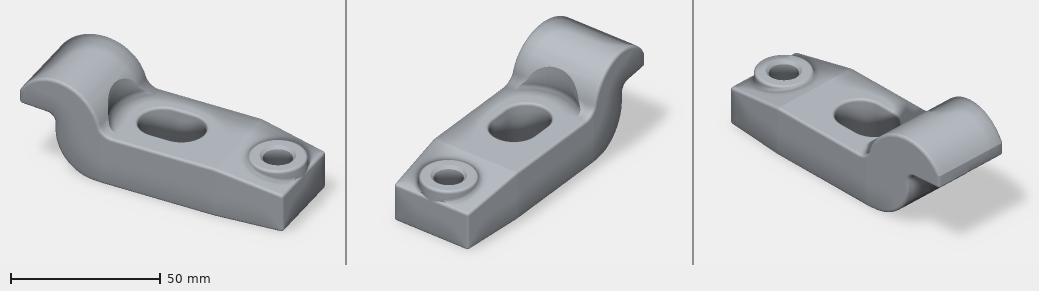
import cadquery as cq
import math

length = 100.0
width = 35.0
bar_height = 19.0
overall_height = 35.0
edge_radius = 1.0

crown_radius = 17.0
crown_x = 15.0
crown_z = overall_height - crown_radius
crown_foot_x = crown_x + math.sqrt(crown_radius**2 - (bar_height - crown_z) ** 2)
crown_blend_radius = 5.0
nose_underside_z = 21.0
heel_radius = 15.0
throat_radius = 3.0
throat_x = 14.0

tail_start = 75.0
side_taper_angle = 4.6
tail_slope_angle = 10.0

slot_x = 50.0
slot_length = 24.0
slot_width = 17.0
slot_rim_radius = 1.0
clearance_x = slot_x - (slot_length - slot_width) / 2
clearance_radius = 18.4
clearance_floor_radius = 1.4

boss_diameter = 20.0
boss_x = length - boss_diameter / 2
boss_hole_diameter = 10.2
boss_hole_chamfer = 1.0
boss_radius = 1.0


def on_circle(center_x, center_z, radius, angle):
    """Point of a circle in the XZ plane, with the angle in degrees."""
    turn = math.radians(angle)
    return center_x + radius * math.cos(turn), center_z + radius * math.sin(turn)


def tail_top_z(x):
    """Height of the sloped tail top at the given X."""
    return bar_height - (x - tail_start) * math.tan(math.radians(tail_slope_angle))


def side_profile():
    """Side outline of the clamp, extruded over the full width."""
    nose_tip_z = crown_z + math.sqrt(crown_radius**2 - crown_x**2)
    heel_x = throat_x + heel_radius
    throat_center = (throat_x - throat_radius, nose_underside_z - throat_radius)
    return (
        cq.Workplane("XZ")
        .moveTo(0, nose_underside_z)
        .lineTo(0, nose_tip_z)
        .threePointArc((crown_x, overall_height), (crown_foot_x, bar_height))
        .lineTo(tail_start, bar_height)
        .lineTo(length, tail_top_z(length))
        .lineTo(length, 0)
        .lineTo(heel_x, 0)
        .threePointArc(on_circle(heel_x, heel_radius, heel_radius, 225), (throat_x, heel_radius))
        .lineTo(throat_x, throat_center[1])
        .threePointArc(on_circle(*throat_center, throat_radius, 45), (throat_center[0], nose_underside_z))
        .close()
        .extrude(width / 2, both=True)
    )


def plan_profile():
    """Plan outline that narrows toward the nose and the tail."""
    taper = math.tan(math.radians(side_taper_angle))
    nose_half = width / 2 - crown_foot_x * taper
    tail_half = width / 2 - (length - tail_start) * taper
    half_outline = [
        (0, nose_half),
        (crown_foot_x, width / 2),
        (tail_start, width / 2),
        (length, tail_half),
    ]
    mirrored = [(x, -y) for x, y in reversed(half_outline)]
    return cq.Workplane("XY").polyline(half_outline + mirrored).close().extrude(overall_height)


def round_crown_foot(body):
    """Blend the back of the hook into the top of the bar."""
    foot = cq.selectors.NearestToPointSelector((crown_foot_x, 0, bar_height))
    return body.edges("|Y").edges(foot).fillet(crown_blend_radius)


def round_outer_edges(body):
    """Round the edges of both sides, of the tail face and of the lower nose corner."""
    side_edges = body.edges("not(|Y or |Z)").vals()
    nose_edges = body.faces("<X").edges("not >Z").vals()
    tail_edges = body.faces(">X").edges().vals()
    return body.newObject(side_edges + nose_edges + tail_edges).fillet(edge_radius)


def boss_cylinder():
    """Level boss with a rounded top edge, rooted inside the tail."""
    return (
        cq.Workplane("XY", origin=(boss_x, 0, bar_height / 2))
        .circle(boss_diameter / 2)
        .extrude(bar_height / 2)
        .faces(">Z")
        .edges()
        .fillet(boss_radius)
    )


def boss_base():
    """Boss standing on a piece of the tail, with a rounded corner around its foot."""
    reach = boss_diameter / 2 + 2 * boss_radius
    start_x = boss_x - reach
    end_x = boss_x + reach
    tail_piece = (
        cq.Workplane("XZ")
        .moveTo(start_x, bar_height / 2)
        .lineTo(end_x, bar_height / 2)
        .lineTo(end_x, tail_top_z(end_x))
        .lineTo(start_x, tail_top_z(start_x))
        .close()
        .extrude(reach, both=True)
    )
    joined = tail_piece.union(boss_cylinder())
    foot_edges = joined.edges("not(%LINE or %CIRCLE)")
    return foot_edges.fillet(boss_radius)


def add_boss(body):
    """Join the boss to the tail; its foot rounding stops at the rounded tail edge."""
    flat_tail = (
        cq.Workplane("XY", origin=(tail_start, 0, 0))
        .box(length - edge_radius - tail_start, width, overall_height, centered=(False, True, False))
    )
    return body.union(boss_cylinder()).union(boss_base().intersect(flat_tail))


def cut_boss_hole(body):
    """Screw hole through the boss, chamfered at the top."""
    hole_radius = boss_hole_diameter / 2
    hole = cq.Workplane("XY").center(boss_x, 0).circle(hole_radius).extrude(bar_height)
    chamfer = cq.Solid.makeCone(
        hole_radius,
        hole_radius + boss_hole_chamfer,
        boss_hole_chamfer,
        pnt=cq.Vector(boss_x, 0, bar_height - boss_hole_chamfer),
    )
    return body.cut(hole).cut(cq.Workplane(chamfer))


def cut_clearance(body):
    """Round washer clearance sunk into the back of the hook, with a rounded floor corner."""
    cutter = (
        cq.Workplane("XY", origin=(clearance_x, 0, bar_height))
        .circle(clearance_radius)
        .extrude(overall_height)
        .faces("<Z")
        .edges()
        .fillet(clearance_floor_radius)
    )
    return body.cut(cutter)


def cut_slot(body):
    """Obround slot through the bar with a rounded upper rim."""
    slot = cq.Workplane("XY").center(slot_x, 0).slot2D(slot_length, slot_width).extrude(bar_height)
    slot_rim = cq.selectors.BoxSelector(
        (slot_x - slot_length / 2, -slot_width / 2 - slot_rim_radius, bar_height - slot_rim_radius),
        (slot_x + slot_length / 2, slot_width / 2 + slot_rim_radius, bar_height + slot_rim_radius),
    )
    return body.cut(slot).edges(slot_rim).fillet(slot_rim_radius)


body = side_profile().intersect(plan_profile())
body = round_crown_foot(body)
body = round_outer_edges(body)
body = cut_clearance(body)
body = cut_slot(body)
body = add_boss(body)
result = cut_boss_hole(body)